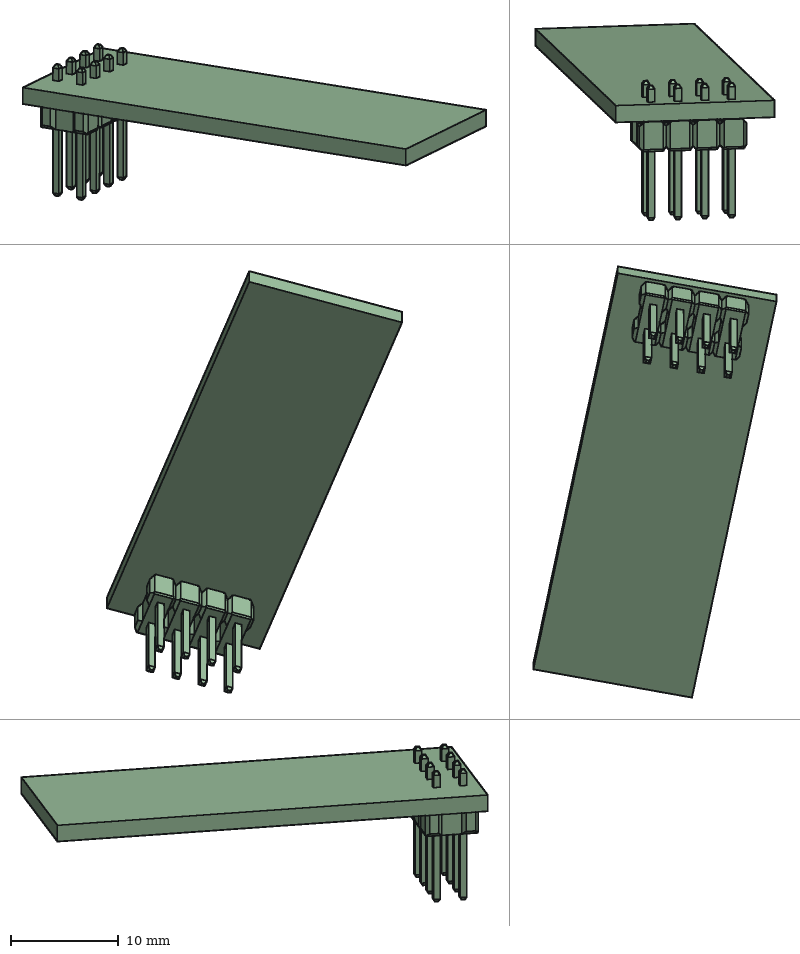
import cadquery as cq
board_length = 41.0
board_width = 15.0
board_thickness = 1.6

pitch = 2.54
columns = 2
rows = 4
header_inset = 0.28
header_y = 0.1

pin_size = 0.64
pin_length = 12.7
pin_above_board = 1.5
pin_tip_height = 0.3
pin_tip_size = 0.28

cell_height = 2.82
board_gap = 0.1
cell_length = columns * pitch
half_cell_length = cell_length / 2
half_cell_width = pitch / 2
lobe_depth = 0.35
core_half_width = half_cell_width - lobe_depth
lobe_root_length = 1.59
top_bevel_height = 0.48
top_half_width = 0.82
bottom_bevel_height = 0.34
foot_length = 0.5
foot_height = 0.28
end_chamfer_length = 0.1
end_chamfer_height = 0.22

header_x = -board_length / 2 + header_inset + half_cell_length


def grid_offsets(count):
    """Positions of `count` items spaced by the pitch and centred on zero."""
    return [(index - (count - 1) / 2) * pitch for index in range(count)]


def make_board():
    return cq.Workplane("XY").box(
        board_length, board_width, board_thickness, centered=(True, True, False)
    )


def make_pin_tip(base_z, direction):
    """Tapered square tip growing from base_z up (+1) or down (-1)."""
    return (
        cq.Workplane("XY")
        .workplane(offset=base_z)
        .rect(pin_size, pin_size)
        .workplane(offset=direction * pin_tip_height)
        .rect(pin_tip_size, pin_tip_size)
        .loft(ruled=True)
    )


def make_pin():
    """Square pin on the Z axis with both ends tapered."""
    top_z = board_thickness + pin_above_board
    shank_top = top_z - pin_tip_height
    shank_bottom = top_z - pin_length + pin_tip_height
    shank = (
        cq.Workplane("XY")
        .workplane(offset=shank_bottom)
        .rect(pin_size, pin_size)
        .extrude(shank_top - shank_bottom)
    )
    return shank.union(make_pin_tip(shank_top, 1)).union(make_pin_tip(shank_bottom, -1))


def make_cell_plan():
    """Cell footprint: a core with a bevelled lobe at each corner, full height."""
    lobe_root = half_cell_length - lobe_root_length
    quarter = [
        (half_cell_length, core_half_width),
        (half_cell_length - lobe_depth, half_cell_width),
        (lobe_root + lobe_depth, half_cell_width),
        (lobe_root, core_half_width),
    ]
    back = quarter + [(-x, y) for x, y in reversed(quarter)]
    front = [(x, -y) for x, y in reversed(back)]
    return cq.Workplane("XY").polyline(back + front).close().extrude(-cell_height)


def make_cell_side_profile():
    """Cell outline across the row, bevelled at the top and bottom."""
    right = [
        (core_half_width, -cell_height),
        (half_cell_width, -cell_height + bottom_bevel_height),
        (half_cell_width, -top_bevel_height),
        (top_half_width, 0),
    ]
    left = [(-y, z) for y, z in reversed(right)]
    return (
        cq.Workplane("YZ").polyline(right + left).close().extrude(half_cell_length, both=True)
    )


def make_cell_end_profile():
    """Cell outline along its length: a foot at each end and chamfered lower edges."""
    foot_start = half_cell_length - foot_length
    right = [
        (half_cell_length - end_chamfer_length, -cell_height),
        (half_cell_length, -cell_height + end_chamfer_height),
        (half_cell_length, 0),
        (foot_start, 0),
        (foot_start, -foot_height),
    ]
    left = [(-x, z) for x, z in reversed(right)]
    return (
        cq.Workplane("XZ").polyline(right + left).close().extrude(half_cell_width, both=True)
    )


def make_cell():
    return make_cell_plan().intersect(make_cell_side_profile()).intersect(make_cell_end_profile())


result = make_board()
cell = make_cell()
pin = make_pin()
for row_y in grid_offsets(rows):
    result = result.union(cell.translate((header_x, header_y + row_y, -board_gap)))
    for column_x in grid_offsets(columns):
        result = result.union(pin.translate((header_x + column_x, header_y + row_y, 0)))